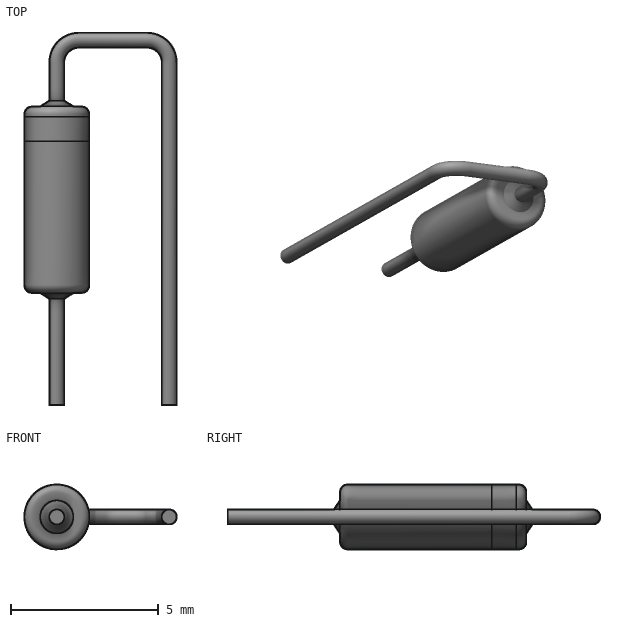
import cadquery as cq


body_diameter = 2.21
body_length = 6.32
body_edge_radius = 0.27
body_radius = body_diameter / 2

collar_base_diameter = 1.12
collar_length = 0.2
collar_base_radius = collar_base_diameter / 2

lead_diameter = 0.51
lead_pitch = 3.81
lead_bend_radius = 0.75
overall_length = 12.62
lead_radius = lead_diameter / 2
lead_depth_in_body = 1.0
straight_lead_length = 3.6

band_width = 0.83
band_thickness = 0.1
band_offset = 0.08

body_start = straight_lead_length + collar_length
body_end = body_start + body_length
return_lead_y = overall_length - lead_radius
bend_start = return_lead_y - lead_bend_radius
straight_lead_end = body_start + lead_depth_in_body
bent_lead_start = body_end - lead_depth_in_body
band_end = body_end - body_edge_radius - band_offset
band_start = band_end - band_width


def cylinder_along_y(radius, start, end):
    """Solid cylinder on the body axis between two Y positions."""
    return cq.Workplane("XZ", origin=(0, start, 0)).circle(radius).extrude(start - end)


def make_straight_lead():
    return cylinder_along_y(lead_radius, 0, straight_lead_end)


def make_bent_lead():
    """Lead that leaves the far end, turns twice and runs back beside the body."""
    path = (
        cq.Workplane("XY")
        .moveTo(0, bent_lead_start)
        .lineTo(0, bend_start)
        .radiusArc((lead_bend_radius, return_lead_y), lead_bend_radius)
        .lineTo(lead_pitch - lead_bend_radius, return_lead_y)
        .radiusArc((lead_pitch, bend_start), lead_bend_radius)
        .lineTo(lead_pitch, 0)
    )
    section = cq.Workplane("XZ", origin=(0, bent_lead_start, 0)).circle(lead_radius)
    return section.sweep(path)


def make_band():
    outer = cylinder_along_y(body_radius, band_start, band_end)
    inner = cylinder_along_y(body_radius - band_thickness, band_start, band_end)
    return outer.cut(inner)


def make_body(straight_lead, bent_lead, band):
    """Rounded cylinder with two collars, a groove for the band and sockets for the leads."""
    barrel = cylinder_along_y(body_radius, body_start, body_end).edges().fillet(body_edge_radius)
    collars = (
        cq.Workplane("XY")
        .moveTo(0, body_start - collar_length)
        .lineTo(lead_radius, body_start - collar_length)
        .lineTo(collar_base_radius, body_start)
        .lineTo(collar_base_radius, body_end)
        .lineTo(lead_radius, body_end + collar_length)
        .lineTo(0, body_end + collar_length)
        .close()
        .revolve(360, (0, 0, 0), (0, 1, 0))
    )
    return barrel.union(collars).cut(band).cut(straight_lead).cut(bent_lead)


straight_lead = make_straight_lead()
bent_lead = make_bent_lead()
band = make_band()
body = make_body(straight_lead, bent_lead, band)

bodies = [part.solids().val() for part in (body, band, straight_lead, bent_lead)]
result = cq.Compound.makeCompound(bodies)